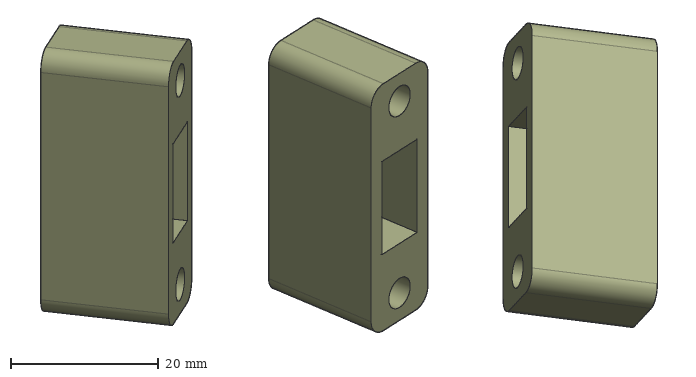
import cadquery as cq

depth = 18.0
width = 12.2
height = 39.2
corner_radius = 2.63

window_width = 7.55
window_height = 14.78
hole_diameter = 4.6
hole_spacing = 30.45

block = cq.Workplane("XY").box(depth, width, height).edges("|X").fillet(corner_radius)

window = cq.Workplane("XY").box(depth, window_width, window_height)

holes = (
    cq.Workplane("YZ")
    .pushPoints([(0, -hole_spacing / 2), (0, hole_spacing / 2)])
    .circle(hole_diameter / 2)
    .extrude(depth / 2, both=True)
)

result = block.cut(window).cut(holes)